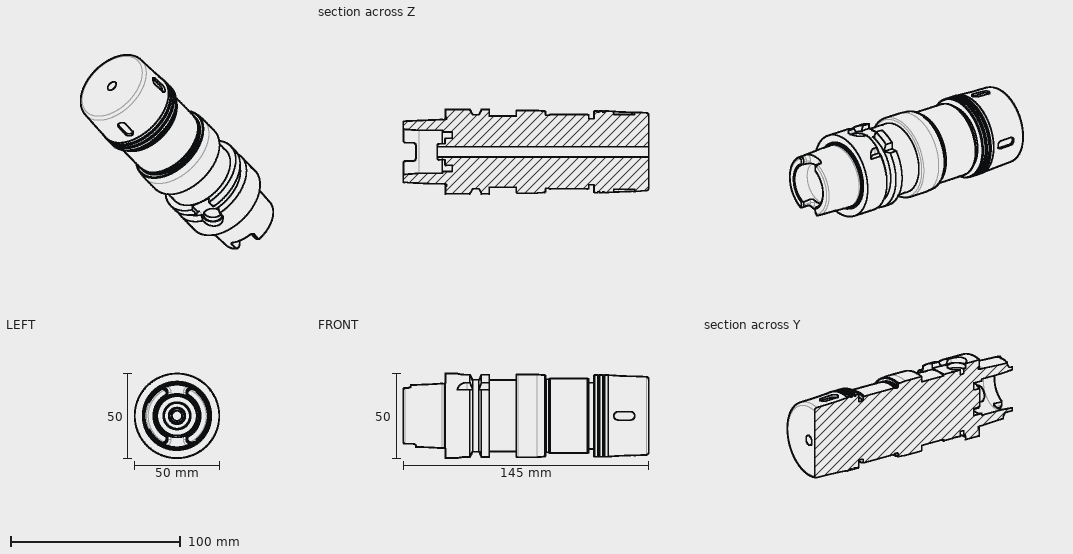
import cadquery as cq
import math


length = 145.0
taper_end = 22.9
neck_start = 23.9
flange_start = 25.0
v_groove_start = 39.5
v_groove_floor_start = 41.2
v_groove_floor_end = 44.8
v_groove_end = 46.3
flange_end = 50.9
collar_start = 66.7
collar_taper_start = 78.9
collar_end = 84.1
sleeve_start = 86.7
sleeve_end = 109.6
nut_start = 112.5
nut_taper_start = 121.0

taper_tip_r = 18.1
taper_base_r = 19.1
neck_r = 19.0
flange_r = 50.0 / 2
v_groove_r = 21.9
body_r = 21.2
collar_r = 24.5
collar_end_r = 24.0
collar_foot = 0.5
collar_neck_r = 21.6
sleeve_r = 22.0
nut_neck_r = 19.6
nut_r = 24.2
nut_taper_r = 24.0
nut_end_r = 23.0

tip_round = 1.0
collar_edge = 0.9
collar_back_edge = 0.5
sleeve_edge_length = 0.9
sleeve_edge_height = 0.3
sleeve_lead_length = 0.9
nut_front_edge = 0.5
nut_end_round = 1.7
neck_foot = 0.5
face_groove_r = 20.3
face_groove_depth = 0.6

ring_groove_starts = (115.0, 117.9)
ring_groove_floor = 0.6
ring_groove_ramp = 0.5
ring_groove_depth = 0.6

mouth_r = 28.0 / 2
mouth_chamfer_length = 0.5
bore_entry_r = 26.5 / 2
bore_r = 12.6
bore_cone_end = 9.1
bore_step_x = 23.2
seat_r = 11.6
bore_floor_x = 29.0
coolant_r = 6.0 / 2

nut_boss_r = 8.1
nut_boss_x = 24.6
nut_boss_chamfer = 0.6
nipple_r = 5.0
nipple_x = 20.3
nipple_chamfer = 0.7

slot_half_width = 5.4
slot_flare_r = 2.8
slot_flare_z = 13.8
slot_floor_round = 1.7
top_slot_depth = 4.5
bottom_slot_depth = 7.5

keyway_r = 6.0
keyway_x = 37.7
keyway_floor = 21.3
pocket_r = 5.5
pocket_floor = 18.3
notch_offset = 15.5

wrench_slot_x = 130.5
wrench_slot_length = 12.3
wrench_slot_width = 5.0
wrench_slot_floor = 22.2
wrench_slot_count = 4


def revolve_profile(points):
    """Turn a closed (x, radius) outline about the X axis."""
    return cq.Workplane("XY").polyline(points).close().revolve(360, (0, 0, 0), (1, 0, 0))


def make_shank():
    """Taper, gripper flange, collar and sleeve in one turned piece."""
    blank = revolve_profile([
        (0, 0),
        (0, taper_tip_r),
        (taper_end, taper_base_r),
        (neck_start, neck_r),
        (flange_start - neck_foot, neck_r),
        (flange_start, neck_r + neck_foot),
        (flange_start + face_groove_depth, neck_r + neck_foot),
        (flange_start + face_groove_depth, face_groove_r),
        (flange_start, face_groove_r),
        (flange_start, flange_r),
        (v_groove_start, flange_r),
        (v_groove_floor_start, v_groove_r),
        (v_groove_floor_end, v_groove_r),
        (v_groove_end, flange_r),
        (flange_end, flange_r),
        (flange_end, body_r),
        (collar_start, body_r),
        (collar_start, collar_r),
        (collar_taper_start, collar_r),
        (collar_end - collar_back_edge, collar_end_r),
        (collar_end, collar_end_r - collar_back_edge),
        (collar_end, collar_neck_r + collar_foot),
        (collar_end + collar_foot, collar_neck_r),
        (sleeve_start - sleeve_lead_length, collar_neck_r),
        (sleeve_start, sleeve_r),
        (sleeve_end - sleeve_edge_length, sleeve_r),
        (sleeve_end, sleeve_r - sleeve_edge_height),
        (sleeve_end, nut_neck_r),
        (nut_start, nut_neck_r),
        (nut_start, 0),
    ])
    blank = blank.faces("<X").edges().fillet(tip_round)
    collar_rim = cq.selectors.BoxSelector(
        (collar_start - collar_edge, -flange_r, -flange_r),
        (collar_start + collar_edge, flange_r, flange_r),
        boundingbox=True,
    )
    return blank.edges(collar_rim).edges(cq.selectors.RadiusNthSelector(-1)).fillet(collar_edge)


def make_nut():
    """Clamping nut with ring grooves, a slight step and taper, and a rounded end."""
    outline = [
        (nut_start, 0),
        (nut_start, nut_r - nut_front_edge),
        (nut_start + nut_front_edge, nut_r),
    ]
    groove_floor_r = nut_r - ring_groove_depth
    for start in ring_groove_starts:
        floor_end = start + ring_groove_floor
        outline += [
            (start, nut_r),
            (start, groove_floor_r),
            (floor_end, groove_floor_r),
            (floor_end + ring_groove_ramp, nut_r),
        ]
    outline += [
        (nut_taper_start, nut_r),
        (nut_taper_start, nut_taper_r),
        (length, nut_end_r),
        (length, 0),
    ]
    return revolve_profile(outline).faces(">X").edges().fillet(nut_end_round)


def make_bore():
    """Tapered clamping bore around a coolant nipple, with the coolant hole running right through."""
    return revolve_profile([
        (0, 0),
        (0, mouth_r),
        (mouth_chamfer_length, bore_entry_r),
        (bore_cone_end, bore_r),
        (bore_step_x, bore_r),
        (bore_step_x, seat_r),
        (bore_floor_x, seat_r),
        (bore_floor_x, nut_boss_r),
        (nut_boss_x + nut_boss_chamfer, nut_boss_r),
        (nut_boss_x, nut_boss_r - nut_boss_chamfer),
        (nut_boss_x, nipple_r),
        (nipple_x + nipple_chamfer, nipple_r),
        (nipple_x, nipple_r - nipple_chamfer),
        (nipple_x, coolant_r),
        (length, coolant_r),
        (length, 0),
    ])


def slot_outline(flare_r):
    """Slot section on the YZ plane; a smaller flare radius about the same centres gives a wider slot."""
    flare_y = slot_half_width + slot_flare_r
    wall_y = flare_y - flare_r
    flare_z = slot_flare_z + flare_r
    arc_offset = flare_r * math.sqrt(0.5)
    arc_mid_y = flare_y - arc_offset
    arc_mid_z = slot_flare_z + arc_offset
    return (
        cq.Workplane("YZ")
        .moveTo(-wall_y, 0)
        .lineTo(-wall_y, slot_flare_z)
        .threePointArc((-arc_mid_y, arc_mid_z), (-flare_y, flare_z))
        .lineTo(-flare_y, flange_r)
        .lineTo(flare_y, flange_r)
        .lineTo(flare_y, flare_z)
        .threePointArc((arc_mid_y, arc_mid_z), (wall_y, slot_flare_z))
        .lineTo(wall_y, 0)
        .close()
    )


def make_drive_slot(depth):
    """Slot cutter through the upper taper wall, flaring outwards, with rounded floor and bevelled mouth."""
    cutter = slot_outline(slot_flare_r).extrude(depth)
    margin = slot_floor_round / 2
    floor_sides = cq.selectors.BoxSelector(
        (depth - margin, -flange_r, margin),
        (depth + margin, flange_r, flange_r - margin),
    )
    mouth = slot_outline(slot_flare_r - tip_round).extrude(tip_round, taper=45)
    return cutter.edges(floor_sides).fillet(slot_floor_round).union(mouth)


def make_keyway():
    """Upper keyway: a round-ended flat slot open to the back of the flange, with a deeper round pocket."""
    slot = cq.Workplane("XY").box(
        flange_end - keyway_x, 2 * keyway_r, flange_r, centered=(False, True, False)
    ).translate((keyway_x, 0, keyway_floor))
    round_end = cq.Workplane("XY", origin=(keyway_x, 0, keyway_floor)).circle(keyway_r).extrude(flange_r)
    pocket = cq.Workplane("XY", origin=(keyway_x, 0, pocket_floor)).circle(pocket_r).extrude(flange_r)
    return slot.union(round_end).union(pocket)


def make_index_notch():
    """Right-angled notch at 45 degrees in the flange, run out with a round cutter."""
    notch = cq.Workplane("XY").box(
        flange_end - keyway_x, 2 * keyway_r, flange_r, centered=(False, False, False)
    ).translate((keyway_x, -notch_offset - 2 * keyway_r, notch_offset))
    run_out = (
        cq.Workplane("XY", origin=(keyway_x, -notch_offset - keyway_r, notch_offset))
        .circle(keyway_r)
        .extrude(flange_r)
    )
    return notch.union(run_out)


def make_wrench_slot():
    """Round-ended pocket cutter for the top of the nut."""
    return (
        cq.Workplane("XY", origin=(wrench_slot_x, 0, wrench_slot_floor))
        .slot2D(wrench_slot_length, wrench_slot_width)
        .extrude(nut_r)
    )


def turn(shape, angle):
    """Rotate a cutter about the X axis."""
    return shape.rotate((0, 0, 0), (1, 0, 0), angle)


result = make_shank().union(make_nut())
result = result.cut(make_drive_slot(top_slot_depth))
result = result.cut(turn(make_drive_slot(bottom_slot_depth), 180))
result = result.cut(make_bore())

for angle in (0, 180):
    result = result.cut(turn(make_keyway(), angle))
result = result.cut(make_index_notch())

for index in range(wrench_slot_count):
    result = result.cut(turn(make_wrench_slot(), index * 360 / wrench_slot_count))